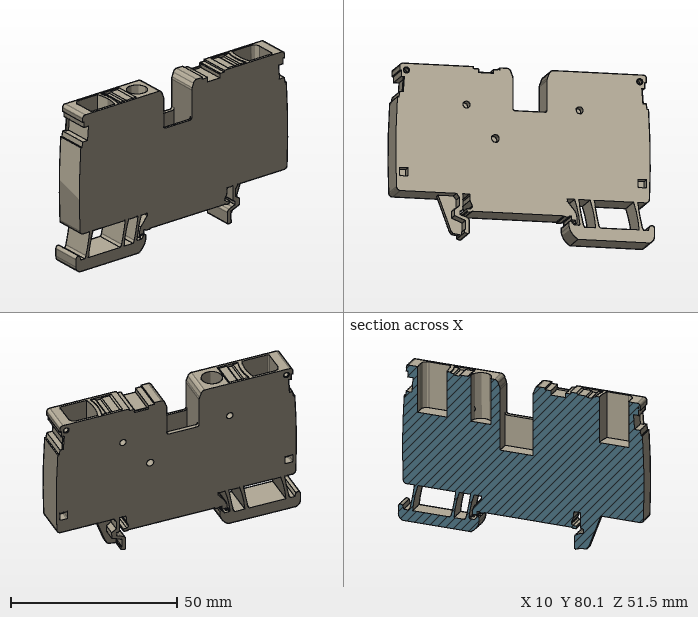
import cadquery as cq


THICKNESS = 10.0
HALF_LENGTH_MAX = 39.37
HALF_LENGTH_LOW = 39.1
HALF_LENGTH_SHOULDER = 38.85
BULGE_CREST_Z = 13.0
TOP_Z = 39.2
SHOULDER_Z = 28.75
BASE_CORNER_RADIUS = 1.2

END_SLOT_BOTTOM_Z = 30.45
END_SLOT_TOP_Z = 35.1
END_SLOT_FLOOR_LOW_Y = 37.3
END_SLOT_FLOOR_HIGH_Y = 36.95
STEP_FOOT_Y = 38.4
STEP_HEAD_Y = 38.1
LIP_Y = 38.15
LIP_STEP_Y = 37.65
LIP_STEP_Z = 36.95
LIP_RADIUS = 1.0

LEDGE_START_Y, LEDGE_END_Y = 15.4, 7.2
LEDGE_Z = TOP_Z - 0.6
TOP_SLOT_START_Y, TOP_SLOT_END_Y = 13.7, 9.1
TOP_SLOT_Z = 37.65
TOP_SLOT_MOUTH_BEVEL = 0.25

BEVEL_DEPTH = 0.25
BEVEL_WIDTH = 0.3
RIM_WIDTH = 0.6
TOP_SLOT_EXTRA_DEPTH = 0.5
END_SLOT_EXTRA_DEPTH = 1.0

WELL_START_Y, WELL_END_Y = 3.1, -7.45
WELL_FLOOR_Z = 26.3
WELL_CORNER_RADIUS = 0.7
TOWER_SLOPE_Z = 36.5
TOWER_SLOPE_RADIUS = 2.0
TOWER_SLOPE_RUN = 0.65
TOWER_CORNER_RUN = 1.8
TOWER_CORNER_DROP = 1.0
TOWER_CORNER_MID_RUN = 1.05
TOWER_CORNER_MID_DROP = 0.35
WELL_POCKET_X = (1.25, 9.25)
WELL_POCKET_DEPTH = 10.0

OPENING_X = (0.72, 9.2)
OPENING_MID_X = sum(OPENING_X) / 2
FUNNEL_OUTER_Y = 34.3
FUNNEL_INNER_SIDE_Y = 25.45
FUNNEL_INNER_MID_Y = 24.8
FUNNEL_DEPTH = 15.0
FUNNEL_LARGE_RADIUS = 1.8
FUNNEL_SMALL_RADIUS = 0.4

RECESS_OUTER_SIDE_Y = 24.15
RECESS_OUTER_MID_Y = 23.55
RECESS_INNER_Y = 17.35
RECESS_WALL_RUN = 0.6
RECESS_DEPTH = 0.45
RECESS_OUTER_DEPTH = 0.2
GROOVE_Y = (20.5, 22.6)
GROOVE_SLOPE = 0.4

TEST_HOLE_Y = -13.8
TEST_HOLE_DIAMETER = 6.4
TEST_HOLE_DEPTH = 15.0

SIDE_HOLE_DEPTH = 3.0
SIDE_HOLES = [
    (17.5, 27.4, 2.1),
    (-17.5, 27.4, 2.1),
    (8.57, 17.45, 2.35),
]
CORNER_HOLE_Y, CORNER_HOLE_Z = 36.1, 37.1
CORNER_HOLE_DIAMETER = 1.4
CORNER_HOLE_CHAMFER = 0.25
SQUARE_Y, SQUARE_Z = 36.9, 5.85
SQUARE_SIZE = 2.55
SQUARE_RADIUS = 0.3

OVERLAP = 0.5
PEDESTAL_Z = -5.25
PEDESTAL_START_Y, PEDESTAL_END_Y = 16.6, -13.7
PEDESTAL_TOE_Y = 17.35
CLAW_Y = (-15.0, -16.2, -16.65)
CLAW_TIP_Z = -7.25
BEAD_Z = -5.5
FOOT_Z = -12.25
FOOT_FLOOR_Z = -8.4
FOOT_END_Y = -40.69
CATCH_FRONT_Y = -14.25
CATCH_FLOOR_Z = -7.9
CATCH_TIP_Z = -6.75
HOOK_FRONT_Y = 16.6
HOOK_ELBOW_Z = -7.6
HOOK_ELBOW_RADIUS = 1.0
RIB_X = (4.0, 6.0)
LEG_TOPS_Y = (-15.95, -20.75, -34.2)
LEG_TOP_WIDTH = 1.3
LEG_LEAN = 1.7
LEG_ROOT_WIDTH = 1.5


def side_profile(points):
    """Closed straight-sided outline in the YZ plane, through the full thickness."""
    return cq.Workplane("YZ").polyline(points).close().extrude(THICKNESS)


def end_slot_edge(side):
    """Points of one housing end from the shoulder up to the lip; side is +1 or -1."""
    points = [
        (STEP_FOOT_Y, SHOULDER_Z),
        (STEP_HEAD_Y, END_SLOT_BOTTOM_Z),
        (END_SLOT_FLOOR_LOW_Y, END_SLOT_BOTTOM_Z),
        (END_SLOT_FLOOR_HIGH_Y, END_SLOT_TOP_Z),
        (LIP_STEP_Y, END_SLOT_TOP_Z),
        (LIP_STEP_Y, LIP_STEP_Z),
        (LIP_Y, LIP_STEP_Z),
    ]
    return [(side * y, z) for y, z in points]


def make_housing():
    """Housing plate with bulged ends, top slot and well."""
    outline = cq.Workplane("YZ").moveTo(-HALF_LENGTH_LOW, 0).lineTo(HALF_LENGTH_LOW, 0)
    outline = outline.threePointArc(
        (HALF_LENGTH_MAX, BULGE_CREST_Z), (HALF_LENGTH_SHOULDER, SHOULDER_Z)
    )
    for point in end_slot_edge(1):
        outline = outline.lineTo(*point)
    top_edge = [
        (LIP_Y, TOP_Z),
        (LEDGE_START_Y, TOP_Z),
        (LEDGE_START_Y, LEDGE_Z),
        (TOP_SLOT_START_Y + TOP_SLOT_MOUTH_BEVEL, LEDGE_Z),
        (TOP_SLOT_START_Y, LEDGE_Z - TOP_SLOT_MOUTH_BEVEL),
        (TOP_SLOT_START_Y, TOP_SLOT_Z),
        (TOP_SLOT_END_Y, TOP_SLOT_Z),
        (TOP_SLOT_END_Y, LEDGE_Z),
        (LEDGE_END_Y, LEDGE_Z),
        (LEDGE_END_Y, TOP_Z),
        (WELL_START_Y + TOWER_CORNER_RUN, TOP_Z),
    ]
    for point in top_edge:
        outline = outline.lineTo(*point)
    outline = outline.threePointArc(
        (WELL_START_Y + TOWER_CORNER_MID_RUN, TOP_Z - TOWER_CORNER_MID_DROP),
        (WELL_START_Y + TOWER_SLOPE_RUN, TOP_Z - TOWER_CORNER_DROP),
    )
    well_edge = [
        (WELL_START_Y, TOWER_SLOPE_Z),
        (WELL_START_Y, WELL_FLOOR_Z),
        (WELL_END_Y, WELL_FLOOR_Z),
        (WELL_END_Y, TOWER_SLOPE_Z),
        (WELL_END_Y - TOWER_SLOPE_RUN, TOP_Z - TOWER_CORNER_DROP),
    ]
    for point in well_edge:
        outline = outline.lineTo(*point)
    outline = outline.threePointArc(
        (WELL_END_Y - TOWER_CORNER_MID_RUN, TOP_Z - TOWER_CORNER_MID_DROP),
        (WELL_END_Y - TOWER_CORNER_RUN, TOP_Z),
    )
    for point in [(-LIP_Y, TOP_Z)] + end_slot_edge(-1)[::-1]:
        outline = outline.lineTo(*point)
    outline = outline.lineTo(-HALF_LENGTH_SHOULDER, SHOULDER_Z)
    outline = outline.threePointArc((-HALF_LENGTH_MAX, BULGE_CREST_Z), (-HALF_LENGTH_LOW, 0))
    housing = outline.close().extrude(THICKNESS)

    rounded_corners = [
        (HALF_LENGTH_LOW, 0, BASE_CORNER_RADIUS),
        (-HALF_LENGTH_LOW, 0, BASE_CORNER_RADIUS),
        (LIP_Y, TOP_Z, LIP_RADIUS),
        (-LIP_Y, TOP_Z, LIP_RADIUS),
        (WELL_START_Y, WELL_FLOOR_Z, WELL_CORNER_RADIUS),
        (WELL_END_Y, WELL_FLOOR_Z, WELL_CORNER_RADIUS),
        (WELL_START_Y, TOWER_SLOPE_Z, TOWER_SLOPE_RADIUS),
        (WELL_END_Y, TOWER_SLOPE_Z, TOWER_SLOPE_RADIUS),
    ]
    for y, z, radius in rounded_corners:
        corner = cq.selectors.NearestToPointSelector((THICKNESS / 2, y, z))
        housing = housing.edges(corner).fillet(radius)
    return housing


def shape_slot_floors(housing):
    """Deepen the slots behind a thin rim and bevel that rim towards X = 0."""
    bevel = [(0, 0), (BEVEL_WIDTH, 0), (0, -BEVEL_DEPTH)]

    def deepening(depth):
        return [(RIM_WIDTH, 0), (THICKNESS, 0), (THICKNESS, -depth), (RIM_WIDTH, -depth)]

    for section in (bevel, deepening(TOP_SLOT_EXTRA_DEPTH)):
        top_cut = (
            cq.Workplane("XZ", origin=(0, TOP_SLOT_START_Y, TOP_SLOT_Z))
            .polyline(section)
            .close()
            .extrude(TOP_SLOT_START_Y - TOP_SLOT_END_Y)
        )
        housing = housing.cut(top_cut)

    along_floor = cq.Vector(
        0,
        END_SLOT_FLOOR_HIGH_Y - END_SLOT_FLOOR_LOW_Y,
        END_SLOT_TOP_Z - END_SLOT_BOTTOM_Z,
    )
    for section in (bevel, deepening(END_SLOT_EXTRA_DEPTH)):
        outline = (
            cq.Workplane("XY", origin=(0, END_SLOT_FLOOR_LOW_Y, END_SLOT_BOTTOM_Z))
            .polyline(section)
            .close()
        )
        end_cut = cq.Workplane(cq.Solid.extrudeLinear(outline.val(), [], along_floor))
        housing = housing.cut(end_cut).cut(end_cut.mirror("XZ"))
    return housing


def top_outline(outer_y, inner_side_y, inner_mid_y, side):
    """Opening outline seen from above: straight outer edge, bowed edge facing it."""
    near_x, far_x = OPENING_X
    return (
        cq.Workplane("XY", origin=(0, 0, TOP_Z))
        .moveTo(near_x, side * outer_y)
        .lineTo(far_x, side * outer_y)
        .lineTo(far_x, side * inner_side_y)
        .threePointArc((OPENING_MID_X, side * inner_mid_y), (near_x, side * inner_side_y))
        .close()
    )


def make_funnel(side):
    """Wire entry pocket of one tower."""
    funnel = top_outline(FUNNEL_OUTER_Y, FUNNEL_INNER_SIDE_Y, FUNNEL_INNER_MID_Y, side)
    funnel = funnel.extrude(-FUNNEL_DEPTH)
    near_corner, far_corner = [
        cq.selectors.NearestToPointSelector((x, side * FUNNEL_OUTER_Y, TOP_Z - FUNNEL_DEPTH / 2))
        for x in OPENING_X
    ]
    funnel = funnel.edges(near_corner).fillet(FUNNEL_LARGE_RADIUS)
    return funnel.edges(far_corner).fillet(FUNNEL_SMALL_RADIUS)


def make_recess(side):
    """Shallow recess between funnel and tower middle, with a groove across its floor."""
    floor_z = TOP_Z - RECESS_DEPTH
    groove_z = floor_z - GROOVE_SLOPE
    groove_start_y, groove_end_y = GROOVE_Y
    section = [
        (RECESS_INNER_Y, TOP_Z),
        (RECESS_INNER_Y + RECESS_WALL_RUN, floor_z),
        (groove_start_y, floor_z),
        (groove_start_y + GROOVE_SLOPE, groove_z),
        (groove_end_y - GROOVE_SLOPE, groove_z),
        (groove_end_y, floor_z),
        (RECESS_OUTER_SIDE_Y, TOP_Z - RECESS_OUTER_DEPTH),
        (RECESS_OUTER_SIDE_Y, TOP_Z),
    ]
    trough = side_profile([(side * y, z) for y, z in section])
    bounds = top_outline(RECESS_INNER_Y, RECESS_OUTER_SIDE_Y, RECESS_OUTER_MID_Y, side)
    return trough.intersect(bounds.extrude(groove_z - TOP_Z))


def cut_top_openings(housing):
    """Funnels, recesses, test hole and the pocket in the well floor."""
    for side in (1, -1):
        housing = housing.cut(make_funnel(side)).cut(make_recess(side))
    test_hole = (
        cq.Workplane("XY", origin=(THICKNESS / 2, TEST_HOLE_Y, TOP_Z))
        .circle(TEST_HOLE_DIAMETER / 2)
        .extrude(-TEST_HOLE_DEPTH)
    )
    pocket_start_x, pocket_end_x = WELL_POCKET_X
    pocket = cq.Workplane("XY").box(
        pocket_end_x - pocket_start_x,
        WELL_START_Y - WELL_END_Y,
        WELL_POCKET_DEPTH + WELL_CORNER_RADIUS,
        centered=False,
    ).translate((pocket_start_x, WELL_END_Y, WELL_FLOOR_Z - WELL_POCKET_DEPTH))
    return housing.cut(test_hole).cut(pocket)


def cut_side_holes(housing):
    """Blind holes in the X = 0 side."""
    for y, z, diameter in SIDE_HOLES:
        hole = cq.Workplane("YZ").center(y, z).circle(diameter / 2).extrude(SIDE_HOLE_DEPTH)
        housing = housing.cut(hole)
    for side in (1, -1):
        hole = (
            cq.Workplane("YZ")
            .center(side * CORNER_HOLE_Y, CORNER_HOLE_Z)
            .circle(CORNER_HOLE_DIAMETER / 2)
            .extrude(SIDE_HOLE_DEPTH)
        )
        countersink = cq.Solid.makeCone(
            CORNER_HOLE_DIAMETER / 2 + CORNER_HOLE_CHAMFER,
            CORNER_HOLE_DIAMETER / 2,
            CORNER_HOLE_CHAMFER,
            cq.Vector(0, side * CORNER_HOLE_Y, CORNER_HOLE_Z),
            cq.Vector(1, 0, 0),
        )
        square = (
            cq.Workplane("YZ")
            .center(side * SQUARE_Y, SQUARE_Z)
            .rect(SQUARE_SIZE, SQUARE_SIZE)
            .extrude(SIDE_HOLE_DEPTH)
            .edges("|X and <Z")
            .fillet(SQUARE_RADIUS)
        )
        housing = housing.cut(hole).cut(countersink).cut(square)
    return housing


def make_pedestal():
    """Block under the housing that sits on the rail, with an undercut at each end."""
    claw_front_y, claw_step_y, claw_back_y = CLAW_Y
    return side_profile([
        (PEDESTAL_START_Y, OVERLAP),
        (PEDESTAL_START_Y, 0),
        (16.4, -0.45),
        (16.4, -1.95),
        (15.7, -3.6),
        (15.7, -4.0),
        (16.25, -4.45),
        (PEDESTAL_TOE_Y, -4.5),
        (PEDESTAL_TOE_Y, PEDESTAL_Z),
        (17.1, BEAD_Z),
        (16.15, BEAD_Z),
        (15.7, PEDESTAL_Z),
        (-12.6, PEDESTAL_Z),
        (-12.8, BEAD_Z),
        (-14.2, BEAD_Z),
        (-14.4, PEDESTAL_Z),
        (claw_front_y, PEDESTAL_Z),
        (claw_front_y, -6.3),
        (claw_step_y, -6.45),
        (claw_step_y, CLAW_TIP_Z),
        (claw_back_y, CLAW_TIP_Z),
        (claw_back_y, -5.1),
        (claw_step_y, -3.85),
        (PEDESTAL_END_Y, -0.7),
        (PEDESTAL_END_Y, OVERLAP),
    ])


def make_hook():
    """Rigid rail hook: a full-width folded web with a narrower rib behind it."""
    web_front = [
        (18.6, OVERLAP),
        (18.6, -4.9),
        (19.15, -5.25),
        (19.5, -5.4),
        (19.5, -6.45),
        (18.3, -6.8),
        (HOOK_FRONT_Y, HOOK_ELBOW_Z),
        (HOOK_FRONT_Y, -11.95),
        (17.05, -12.2),
        (18.1, -11.9),
    ]
    web_back = [
        (18.1, -11.1),
        (17.85, -10.8),
        (17.85, -8.2),
        (21.15, -6.85),
        (21.2, -4.8),
        (19.7, -3.75),
        (19.7, -1.2),
        (20.6, 0),
        (20.6, OVERLAP),
    ]
    rib_back = [
        (18.1, -11.9),
        (20.7, -11.5),
        (21.35, -10.7),
        (25.3, 0),
    ]
    rib_outline = web_back[-2::-1] + rib_back
    rib_start_x, rib_end_x = RIB_X
    rib = (
        cq.Workplane("YZ", origin=(rib_start_x, 0, 0))
        .polyline(rib_outline)
        .close()
        .extrude(rib_end_x - rib_start_x)
    )
    elbow = cq.selectors.NearestToPointSelector((THICKNESS / 2, HOOK_FRONT_Y, HOOK_ELBOW_Z))
    web = side_profile(web_front + web_back).edges(elbow).fillet(HOOK_ELBOW_RADIUS)
    return web.union(rib)


def make_leg(top_y):
    """Leaning, slightly curved leg that carries the spring foot."""
    root_z = FOOT_FLOOR_Z - OVERLAP
    inner_y = top_y - LEG_LEAN
    outer_y = inner_y - LEG_ROOT_WIDTH
    outer_top_y = top_y - LEG_TOP_WIDTH
    inner_mid = (top_y - 1.05, -3.85)
    outer_mid = (top_y - 2.05, -4.5)
    root_round_mid = (outer_y + 0.3, -8.05)
    root_round_end = (outer_y + 0.5, -7.5)
    return (
        cq.Workplane("YZ")
        .moveTo(top_y, OVERLAP)
        .lineTo(top_y, 0)
        .threePointArc(inner_mid, (inner_y, FOOT_FLOOR_Z))
        .lineTo(inner_y, root_z)
        .lineTo(outer_y, root_z)
        .lineTo(outer_y, FOOT_FLOOR_Z)
        .threePointArc(root_round_mid, root_round_end)
        .threePointArc(outer_mid, (outer_top_y, 0))
        .lineTo(outer_top_y, OVERLAP)
        .close()
        .extrude(THICKNESS)
    )


def make_spring_foot():
    """Bar with a catch for the rail at one end and a release lip at the other."""
    catch = [
        (-17.65, -7.5),
        (-17.35, CATCH_FLOOR_Z),
        (-15.85, CATCH_FLOOR_Z),
        (-15.25, -7.2),
        (-15.15, CATCH_TIP_Z),
        (-14.65, CATCH_TIP_Z),
        (CATCH_FRONT_Y, -6.95),
        (CATCH_FRONT_Y, -8.35),
    ]
    outline = cq.Workplane("YZ").moveTo(-18.5, FOOT_FLOOR_Z)
    for point in catch:
        outline = outline.lineTo(*point)
    foot = (
        outline.threePointArc((-15.2, -10.6), (-17.0, FOOT_Z))
        .lineTo(-39.1, FOOT_Z)
        .threePointArc((-40.2, -11.6), (FOOT_END_Y, -10.25))
        .lineTo(FOOT_END_Y, -7.75)
        .threePointArc((-40.14, -6.95), (-39.2, -7.2))
        .lineTo(-38.8, FOOT_FLOOR_Z)
        .close()
        .extrude(THICKNESS)
    )
    for top_y in LEG_TOPS_Y:
        foot = foot.union(make_leg(top_y))
    return foot


housing = shape_slot_floors(make_housing())
housing = cut_side_holes(cut_top_openings(housing))
result = housing.union(make_pedestal()).union(make_hook()).union(make_spring_foot())